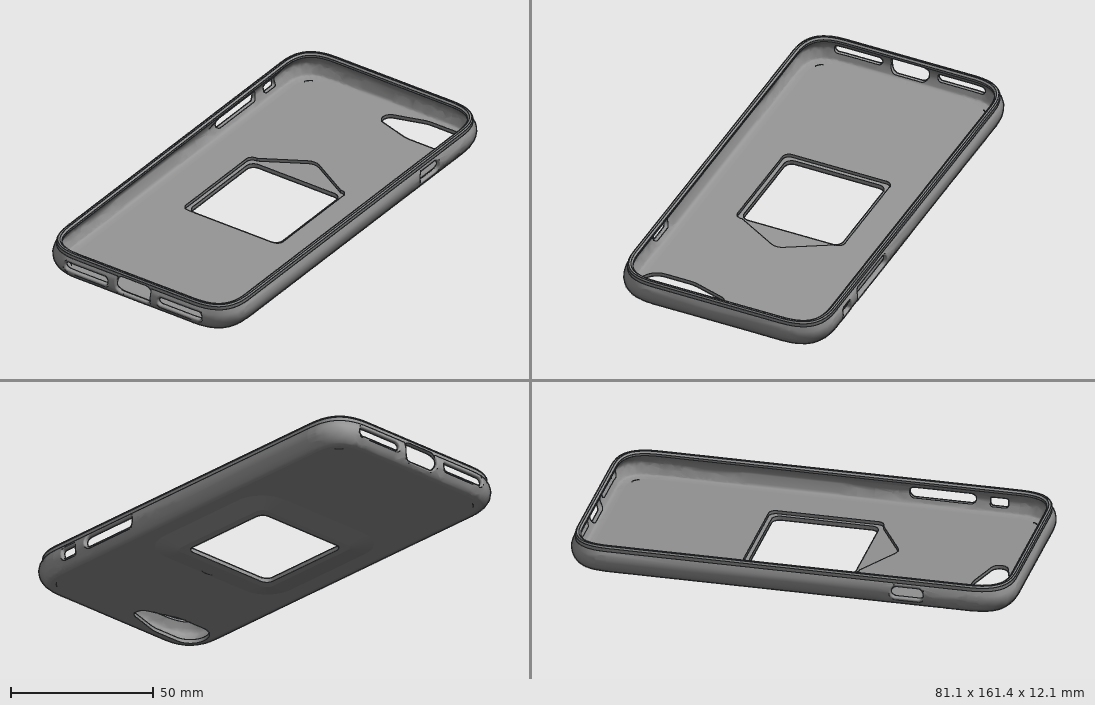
import cadquery as cq
import math

width = 81.13
length = 161.4
pad_height = 1.41
total_height = 12.06
case_height = total_height - pad_height
corner_reach = 15.6
corner_middle_inset = 3.85

floor_thickness = 1.4
back_inset = 4.4
widest_height = 5.3
lip_start_height = 8.7
lip_side_inset = 1.4
lip_side_top = 10.0
lip_top_outer_inset = 1.8
lip_top_inner_inset = 2.6
lip_inner_inset = 3.3
lip_inner_top = 10.0
lip_inner_bottom = 9.2
wall_thickness = 1.6
floor_edge_inset = 6.2
plate_inset = (back_inset + floor_edge_inset) / 2

pad_size = 44.0
pad_corner_radius = 2.9
pad_spread = 8.5

window_size = 38.5
window_radius = 3.0
pocket_size = 41.6
pocket_depth = 1.2
pocket_radius = 2.5
roof_half_width = 17.9
roof_angle = 30.0
roof_tip_radius = 5.0

camera_y = 68.4
camera_large_x = 28.45
camera_large_radius = 6.75
camera_shoulder_x = 17.2
camera_shoulder_radius = 12.0
camera_small_x = 5.8
camera_small_radius = 3.2

rim_radius = 0.6
rim_depth = 1.35
rim_margin = 0.1
tool_clearance = 1.0
speaker_x = 20.0
speaker_z = 5.35
speaker_size = (18.6, 3.1, 1.45)
port_z = 5.7
port_size = (14.8, 6.9, 2.6)
slot_z = 5.35
slot_height = 4.0
slot_radius = 1.9
button_slot_far_end = 49.25
button_slot_near_end = 25.1
mute_near_end = 37.55
small_button_y = 57.6
small_button_z = 4.95
small_button_size = (6.6, 3.4, 0.9)


def rounded_rectangle(plane, size_x, size_y, radius):
    """Closed rounded rectangle centred on the origin of a workplane."""
    half_x = size_x / 2
    half_y = size_y / 2
    diagonal = radius * (1 - math.sqrt(0.5))
    return (
        plane.moveTo(0, -half_y)
        .lineTo(half_x - radius, -half_y)
        .threePointArc((half_x - diagonal, -half_y + diagonal), (half_x, -half_y + radius))
        .lineTo(half_x, half_y - radius)
        .threePointArc((half_x - diagonal, half_y - diagonal), (half_x - radius, half_y))
        .lineTo(-half_x + radius, half_y)
        .threePointArc((-half_x + diagonal, half_y - diagonal), (-half_x, half_y - radius))
        .lineTo(-half_x, -half_y + radius)
        .threePointArc((-half_x + diagonal, -half_y + diagonal), (-half_x + radius, -half_y))
        .close()
    )


def case_outline():
    """Widest outline of the case; its corners are slightly fuller than circular arcs."""
    half_x = width / 2
    half_y = length / 2
    straight_x = half_x - corner_reach
    straight_y = half_y - corner_reach
    middle_x = half_x - corner_middle_inset
    middle_y = half_y - corner_middle_inset
    right, up, left, down = (1, 0), (0, 1), (-1, 0), (0, -1)

    def corner(wire, middle, end, start_direction, end_direction):
        return wire.spline([middle, end], tangents=[start_direction, end_direction], includeCurrent=True)

    wire = cq.Workplane("XY").moveTo(0, -half_y).lineTo(straight_x, -half_y)
    wire = corner(wire, (middle_x, -middle_y), (half_x, -straight_y), right, up)
    wire = wire.lineTo(half_x, straight_y)
    wire = corner(wire, (middle_x, middle_y), (straight_x, half_y), up, left)
    wire = wire.lineTo(-straight_x, half_y)
    wire = corner(wire, (-middle_x, middle_y), (-half_x, straight_y), left, down)
    wire = wire.lineTo(-half_x, -straight_y)
    wire = corner(wire, (-middle_x, -middle_y), (-straight_x, -half_y), down, right)
    return wire.close()


def bulge_points(low, widest, high):
    """Points from the low end of a bulge, around its widest point to the high end."""
    diagonal = math.sqrt(0.5)
    lower_middle = (
        low[0] + (widest[0] - low[0]) * diagonal,
        widest[1] + (low[1] - widest[1]) * diagonal,
    )
    upper_middle = (
        widest[0] + (high[0] - widest[0]) / 4,
        (widest[1] + high[1]) / 2,
    )
    return [low, lower_middle, widest, upper_middle, high]


def bulge_top_direction(widest, high):
    """Upward direction at the high end of a bulge that leans over like a parabola."""
    return (2 * (high[0] - widest[0]), high[1] - widest[1])


def wall_ring():
    """Bulging side wall with its lip, swept around the case outline."""
    outer_widest = (0, widest_height)
    inner_widest = (wall_thickness, widest_height)
    back_edge = (back_inset, 0)
    floor_edge = (floor_edge_inset, floor_thickness)
    lip_start = (lip_side_inset, lip_start_height)
    lip_inner = (lip_inner_inset, lip_inner_bottom)
    outer_bulge = bulge_points(back_edge, outer_widest, lip_start)
    inner_bulge = bulge_points(floor_edge, inner_widest, lip_inner)
    inner_bulge.reverse()
    outer_directions = [(-1, 0), bulge_top_direction(outer_widest, lip_start)]
    lip_direction = bulge_top_direction(inner_widest, lip_inner)
    inner_directions = [(-lip_direction[0], -lip_direction[1]), (1, 0)]
    section = (
        cq.Workplane("YZ", origin=(0, -length / 2, 0))
        .spline(outer_bulge, tangents=outer_directions)
        .lineTo(lip_side_inset, lip_side_top)
        .lineTo(lip_top_outer_inset, case_height)
        .lineTo(lip_top_inner_inset, case_height)
        .lineTo(lip_inner_inset, lip_inner_top)
        .lineTo(*lip_inner)
        .spline(inner_bulge[1:], tangents=inner_directions, includeCurrent=True)
        .lineTo(floor_edge_inset, 0)
        .close()
    )
    return section.sweep(case_outline())


def floor_plate():
    """Flat back, overlapping the foot of the wall all round."""
    return rounded_rectangle(
        cq.Workplane("XY"),
        width - 2 * plate_inset,
        length - 2 * plate_inset,
        corner_reach - plate_inset,
    ).extrude(floor_thickness)


def back_pad():
    """Sloping pad, narrowest at its outer face."""
    slope = math.degrees(math.atan2(pad_spread, pad_height))
    outer_face = rounded_rectangle(
        cq.Workplane("XY", origin=(0, 0, -pad_height)), pad_size, pad_size, pad_corner_radius
    )
    return outer_face.extrude(pad_height, taper=-slope)


def house_pocket():
    """Square pocket with a gabled end, cut into the floor from inside."""
    eaves_y = pocket_size / 2
    roof_rise = roof_half_width * math.tan(math.radians(roof_angle))
    base = cq.Workplane("XY", origin=(0, 0, floor_thickness - pocket_depth))
    square = rounded_rectangle(base, pocket_size, pocket_size, pocket_radius).extrude(pocket_depth)
    roof = (
        base.moveTo(-roof_half_width, 0)
        .lineTo(-roof_half_width, eaves_y)
        .lineTo(0, eaves_y + roof_rise)
        .lineTo(roof_half_width, eaves_y)
        .lineTo(roof_half_width, 0)
        .close()
        .extrude(pocket_depth)
    )
    roof = roof.edges("|Z").edges(">Y").fillet(roof_tip_radius)
    return square.union(roof)


def window():
    """Rounded square that runs through the floor and the pad."""
    through = pad_height + floor_thickness
    return rounded_rectangle(
        cq.Workplane("XY", origin=(0, 0, -pad_height)), window_size, window_size, window_radius
    ).extrude(through)


def camera_opening():
    """Teardrop opening with softened shoulders, tall enough to pass the wall foot."""
    drop = camera_large_radius - camera_small_radius
    taper = math.atan2(drop, camera_shoulder_x - camera_small_x)
    tangent_x = camera_small_x - camera_small_radius * math.sin(taper)
    tangent_y = camera_small_radius * math.cos(taper)
    opening = (
        cq.Workplane("XY", origin=(0, camera_y, 0))
        .moveTo(camera_large_x, -camera_large_radius)
        .threePointArc((camera_large_x + camera_large_radius, 0), (camera_large_x, camera_large_radius))
        .lineTo(camera_shoulder_x, camera_large_radius)
        .lineTo(tangent_x, tangent_y)
        .threePointArc((camera_small_x - camera_small_radius, 0), (tangent_x, -tangent_y))
        .lineTo(camera_shoulder_x, -camera_large_radius)
        .close()
        .extrude(widest_height)
    )
    shoulder_reach = camera_large_radius / 2
    shoulders = cq.selectors.BoxSelector(
        (camera_shoulder_x - shoulder_reach, camera_y - length, -pad_height),
        (camera_shoulder_x + shoulder_reach, camera_y + length, case_height),
    )
    return opening.edges("|Z").edges(shoulders).fillet(camera_shoulder_radius)


def cut_wall_opening(body, wall_center, outward, along, size):
    """Cut a rounded opening through one wall and round its outer rim.

    wall_center lies on the widest outline; size is (length, height, corner radius).
    """
    opening_length, opening_height, radius = size
    center = cq.Vector(*wall_center)
    outward = cq.Vector(*outward)
    along = cq.Vector(*along)
    plane = cq.Plane(origin=center + outward * tool_clearance, xDir=along, normal=outward)
    tool = rounded_rectangle(cq.Workplane(plane), opening_length, opening_height, radius)
    body = body.cut(tool.extrude(-tool_clearance - floor_edge_inset))

    half_span = along * (opening_length / 2 + rim_margin)
    half_span += cq.Vector(0, 0, opening_height / 2 + rim_margin)
    outer_corner = center + outward * tool_clearance + half_span
    inner_corner = center - outward * rim_depth - half_span
    near_rim = cq.selectors.BoxSelector(outer_corner.toTuple(), inner_corner.toTuple())
    rim = near_rim - cq.selectors.ParallelDirSelector(outward)
    return body.edges(rim).fillet(rim_radius)


def cut_end_opening(body, x, z, size):
    """Cut an opening through the -Y end wall."""
    return cut_wall_opening(body, (x, -length / 2, z), (0, -1, 0), (1, 0, 0), size)


def cut_side_opening(body, side, y, z, size):
    """Cut an opening through a long side wall; side is -1 for -X or 1 for +X."""
    return cut_wall_opening(body, (side * width / 2, y, z), (side, 0, 0), (0, 1, 0), size)


result = wall_ring().union(floor_plate()).union(back_pad())
result = result.cut(house_pocket()).cut(window()).cut(camera_opening())

for x in (-speaker_x, speaker_x):
    result = cut_end_opening(result, x, speaker_z, speaker_size)
result = cut_end_opening(result, 0, port_z, port_size)

button_slot_size = (button_slot_far_end - button_slot_near_end, slot_height, slot_radius)
button_slot_y = (button_slot_far_end + button_slot_near_end) / 2
result = cut_side_opening(result, -1, button_slot_y, slot_z, button_slot_size)
result = cut_side_opening(result, -1, small_button_y, small_button_z, small_button_size)

mute_size = (button_slot_far_end - mute_near_end, slot_height, slot_radius)
mute_y = (button_slot_far_end + mute_near_end) / 2
result = cut_side_opening(result, 1, mute_y, slot_z, mute_size)